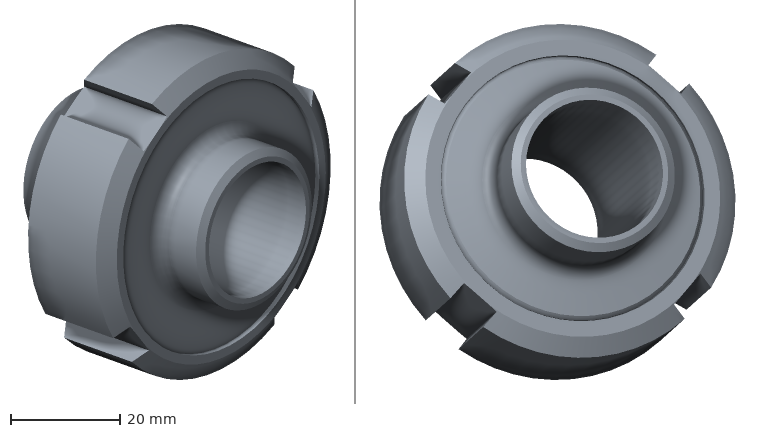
import cadquery as cq
import math

total_length = 45.0
bore_radius = 26.0 / 2
pipe_radius = 31.0 / 2
bevel_length = 0.9
bevel_depth = 1.5
fillet_radius = 2.5

nut_radius = 31.45
nut_start = 14.95
nut_end = 35.95
nut_chamfer_length = 2.0
nut_chamfer_depth = 3.45
nut_bore_radius = 25.0

left_fillet_start = 11.05
cone_angle = math.radians(10)
cone_edge_radius = 24.15
flange_radius = 24.85
gap_bottom = 15.7

recess_radius = 52.5 / 2
right_fillet_end = 37.5
recess_floor = right_fillet_end - fillet_radius

slot_count = 4
slot_width = 8.0
slot_floor = 27.9
first_slot_angle = 38.8


def fillet_point(tangent_x, direction, angle):
    """Point on the pipe fillet, turned by angle from where it leaves the pipe."""
    return (
        tangent_x + direction * fillet_radius * math.sin(angle),
        pipe_radius + fillet_radius * (1 - math.cos(angle)),
    )


def make_body():
    """Revolve the pipe, the flange and the nut about X as one solid."""
    left_turn = math.pi / 2 - cone_angle
    right_turn = math.pi / 2
    cone_start = fillet_point(left_fillet_start, 1, left_turn)
    cone_end_x = cone_start[0] + (cone_edge_radius - cone_start[1]) * math.tan(cone_angle)
    flange_edge_x = cone_end_x + flange_radius - cone_edge_radius
    nut_face_radius = nut_radius - nut_chamfer_depth
    bevel_radius = pipe_radius - bevel_depth

    profile = (
        cq.Workplane("XY")
        .moveTo(0, bore_radius)
        .lineTo(0, bevel_radius)
        .lineTo(bevel_length, pipe_radius)
        .lineTo(left_fillet_start, pipe_radius)
        .threePointArc(fillet_point(left_fillet_start, 1, left_turn / 2), cone_start)
        .lineTo(cone_end_x, cone_edge_radius)
        .lineTo(flange_edge_x, flange_radius)
        .lineTo(gap_bottom, flange_radius)
        .lineTo(gap_bottom, nut_bore_radius)
        .lineTo(nut_start, nut_bore_radius)
        .lineTo(nut_start, nut_face_radius)
        .lineTo(nut_start + nut_chamfer_length, nut_radius)
        .lineTo(nut_end - nut_chamfer_length, nut_radius)
        .lineTo(nut_end, nut_face_radius)
        .lineTo(nut_end, recess_radius)
        .lineTo(recess_floor, recess_radius)
        .lineTo(*fillet_point(right_fillet_end, -1, right_turn))
        .threePointArc(
            fillet_point(right_fillet_end, -1, right_turn / 2),
            (right_fillet_end, pipe_radius),
        )
        .lineTo(total_length - bevel_length, pipe_radius)
        .lineTo(total_length, bevel_radius)
        .lineTo(total_length, bore_radius)
        .close()
    )
    return profile.revolve(360, (0, 0, 0), (1, 0, 0))


def make_slot(angle):
    """Flat-bottomed cutter through the nut rim, turned about X from the top."""
    slot_cutter = cq.Workplane("XY").box(
        nut_end - nut_start,
        slot_width,
        nut_radius - slot_floor,
        centered=(False, True, False),
    )
    slot_cutter = slot_cutter.translate((nut_start, 0, slot_floor))
    return slot_cutter.rotate((0, 0, 0), (1, 0, 0), angle)


result = make_body()
for slot_index in range(slot_count):
    result = result.cut(make_slot(first_slot_angle + slot_index * 360 / slot_count))